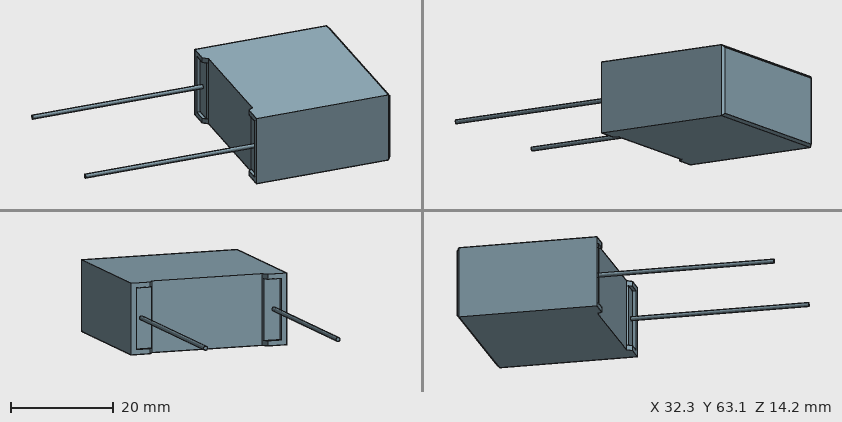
import cadquery as cq

total_length = 63.1
case_width = 32.3
case_length = 28.15
case_height = 14.2
back_chamfer = 0.5

side_wall = 1.15
wall = 1.0

relief_depth = 1.0
relief_floor_width = 22.85
relief_mouth_width = 24.4

fill_recess = 0.7

lead_pitch = 27.5
lead_diameter = 0.8

lead_end_y = -total_length / 2
foot_y = total_length / 2 - case_length
fill_face_y = foot_y + fill_recess
panel_inner_y = foot_y + relief_depth + wall
cavity_back_y = total_length / 2 - wall

cavity_width = case_width - 2 * side_wall
cavity_height = case_height - 2 * wall
slope_run = (relief_mouth_width - relief_floor_width) / 2
window_outer_x = cavity_width / 2
window_inner_x = relief_mouth_width / 2 - slope_run * fill_recess / relief_depth
window_width = window_outer_x - window_inner_x
window_center_x = (window_outer_x + window_inner_x) / 2


def make_block(width, height, start_y, end_y, center_x=0):
    """Box between two Y planes, centred on Z = 0."""
    length = end_y - start_y
    return cq.Workplane("XY").box(width, length, height).translate((center_x, start_y + length / 2, 0))


def make_relief():
    """Trapezoidal channel across the full height of the lead face."""
    return (
        cq.Workplane("XY", origin=(0, 0, -case_height / 2))
        .moveTo(-relief_mouth_width / 2, foot_y)
        .lineTo(relief_mouth_width / 2, foot_y)
        .lineTo(relief_floor_width / 2, foot_y + relief_depth)
        .lineTo(-relief_floor_width / 2, foot_y + relief_depth)
        .close()
        .extrude(case_height)
    )


def make_cavity(front_y):
    """Inside space of the case, with the two windows reaching forward to front_y."""
    cavity = make_block(cavity_width, cavity_height, panel_inner_y, cavity_back_y)
    for side in (-1, 1):
        window = make_block(window_width, cavity_height, front_y, panel_inner_y, side * window_center_x)
        cavity = cavity.union(window)
    return cavity


def make_case():
    """Chamfered box with the relief between its feet, hollowed out through the windows."""
    return (
        make_block(case_width, case_height, foot_y, total_length / 2)
        .faces(">Y")
        .chamfer(back_chamfer)
        .cut(make_relief())
        .cut(make_cavity(foot_y))
    )


def make_fill():
    """Fill of the cavity, up to a level just below the feet."""
    return make_cavity(fill_face_y)


def make_lead(side):
    """Straight round wire from the fill face to its free end; side is -1 or 1 along X."""
    return (
        cq.Workplane("XZ", origin=(side * lead_pitch / 2, fill_face_y, 0))
        .circle(lead_diameter / 2)
        .extrude(fill_face_y - lead_end_y)
    )


case = make_case()
fill = make_fill()
leads = [make_lead(side) for side in (-1, 1)]

bodies = [case, fill, *leads]

result = cq.Compound.makeCompound([body.solids().val() for body in bodies])